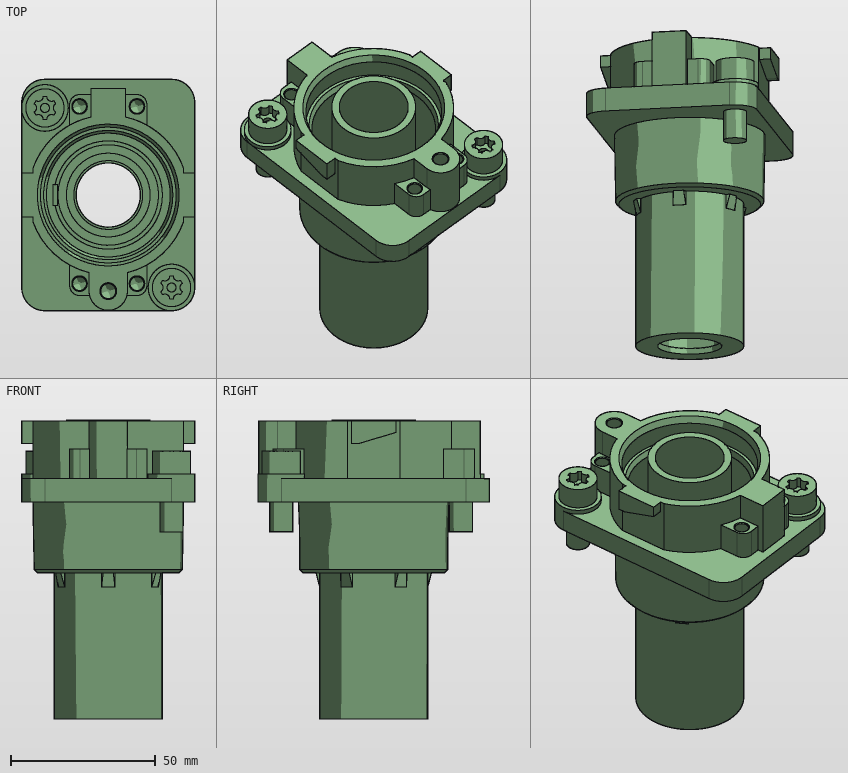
import cadquery as cq
import math

TUBE_TOP = 103.3
RING_TOP = 103.0
LUG_SHALLOW_BOTTOM = 99.0
LUG_DEEP_BOTTOM = 95.1
PILLAR_TOP = 93.3
SCREW_HEAD_TOP = 92.6
SCREW_SEAT_TOP = 84.7
FLANGE_TOP = 83.1
FLANGE_BOTTOM = 74.9
SCREW_TIP = 64.7
POCKET_FLOOR = 56.8
COLLAR_BOTTOM = 50.5
RIB_BOTTOM = 45.7

FLANGE_X = 59.8
FLANGE_Y = 80.0
CORNER_R = 8.1

COLLAR_TOP_R = 26.0
COLLAR_LOW_R = 25.6
COLLAR_BEVEL = 1.1

RING_R = 27.6
RING_FLAT_X = 26.0
LEAD_IN_R = 24.5
LEAD_IN_DEPTH = 2.4
UPPER_BORE_R = 23.5
LEDGE_DEPTH = 9.1
LEDGE_R = 22.3
LEDGE_CONE_DEPTH = 2.0
POCKET_R = 21.4

SIDE_LUG_HALF_Y = 7.6
SIDE_LUG_FLAT_Y = 2.5
BACK_LUG_HALF_X = 6.0
BACK_LUG_Y = 36.8
POST_R = 6.6
POST_Y = -33.2
POST_HOLE_R = 2.6
POST_HOLE_DEPTH = 12.4

PILLAR_HALF_X = 13.3
PILLAR_Y = 34.7
PILLAR_CORNER_R = 3.5
PILLAR_HOLE_X = 9.9
PILLAR_HOLE_Y = 30.6
PILLAR_HOLE_R = 2.4
PILLAR_HOLE_DEPTH = 8.3
HOLE_CHAMFER = 0.3
DRILL_HALF_ANGLE = 59.0

SCREW_X = FLANGE_X / 2 - CORNER_R
CORNER_SCREW_Y = CORNER_R - FLANGE_Y / 2
SCREW_PLACES = [(-SCREW_X, 30.1), (SCREW_X, CORNER_SCREW_Y)]
SCREW_HEAD_R = 6.6
SHANK_R = 4.0
SOCKET_TIP_R = 3.9
SOCKET_TIP_HALF_W = 0.6
SOCKET_VALLEY_R = 2.9
SOCKET_DEPTH = 3.7
SOCKET_LOBES = 6
SOCKET_PIT_R = 1.5
SOCKET_PIT_DEPTH = 1.5

TUBE_R = 18.7
NECK_R = 17.4
NECK_H = 1.0
SPIGOT_R = 14.5
BORE_R = 11.9
BORE_END_R = 11.1
BORE_END_H = 2.1
KEY_INNER_X = 17.5
KEY_OUTER_X = 19.0
KEY_HALF_Y = 3.6
KEY_H = 2.1
RIB_COUNT = 6
RIB_START_ANGLE = 30
RIB_TOP_R = 19.9
RIB_BASE_HALF_W = 2.3
RIB_CREST_HALF_W = 1.8
RIB_ROOT = 0.5


def cylinder(radius, bottom, top, x=0, y=0):
    return cq.Workplane("XY", origin=(x, y, bottom)).circle(radius).extrude(top - bottom)


def block(x0, x1, y0, y1, bottom, top):
    corner = (x0, y0, bottom)
    return cq.Workplane("XY", origin=corner).box(x1 - x0, y1 - y0, top - bottom, centered=False)


def revolved(profile):
    """Turn a list of (radius, z) points around the Z axis."""
    return cq.Workplane("XZ").polyline(profile).close().revolve(360, (0, 0, 0), (0, 1, 0))


def drilled_hole(x, y, top, radius, depth):
    """Blind hole with a chamfered mouth and a drill-point end."""
    mouth_r = radius + HOLE_CHAMFER
    point_h = radius / math.tan(math.radians(DRILL_HALF_ANGLE))
    profile = [
        (0, top),
        (mouth_r, top),
        (radius, top - HOLE_CHAMFER),
        (radius, top - depth),
        (0, top - depth - point_h),
    ]
    return revolved(profile).translate((x, y, 0))


def make_flange():
    """Rounded plate, with the +X -Y corner left open for the screw seat that rounds it off."""
    plate = cq.Workplane("XY", origin=(0, 0, FLANGE_BOTTOM)).rect(FLANGE_X, FLANGE_Y)
    plate = plate.extrude(FLANGE_TOP - FLANGE_BOTTOM).edges("|Z").fillet(CORNER_R)
    open_corner = block(
        SCREW_X, FLANGE_X / 2, -FLANGE_Y / 2, CORNER_SCREW_Y, FLANGE_BOTTOM, FLANGE_TOP
    )
    return plate.cut(open_corner)


def make_collar():
    return revolved([
        (0, COLLAR_BOTTOM),
        (COLLAR_LOW_R - COLLAR_BEVEL, COLLAR_BOTTOM),
        (COLLAR_LOW_R, COLLAR_BOTTOM + COLLAR_BEVEL),
        (COLLAR_TOP_R, FLANGE_BOTTOM),
        (0, FLANGE_BOTTOM),
    ])


def make_ring():
    flats = block(-RING_FLAT_X, RING_FLAT_X, -RING_R, RING_R, FLANGE_TOP, RING_TOP)
    return cylinder(RING_R, FLANGE_TOP, RING_TOP).intersect(flats)


def make_side_lug():
    """Lug on the -X side, its underside sloping down toward -Y."""
    outline = [
        (SIDE_LUG_HALF_Y, RING_TOP),
        (SIDE_LUG_HALF_Y, LUG_SHALLOW_BOTTOM),
        (SIDE_LUG_FLAT_Y - SIDE_LUG_HALF_Y, LUG_DEEP_BOTTOM),
        (-SIDE_LUG_HALF_Y, LUG_DEEP_BOTTOM),
        (-SIDE_LUG_HALF_Y, RING_TOP),
    ]
    lug = cq.Workplane("YZ", origin=(-FLANGE_X / 2, 0, 0)).polyline(outline).close()
    return lug.extrude(FLANGE_X / 2 - UPPER_BORE_R)


def make_pillars():
    """Bars on both sides of the ring whose rounded corners form the four pillars."""
    bar = cq.Workplane("XY", origin=(0, 0, FLANGE_TOP)).rect(2 * PILLAR_HALF_X, 2 * PILLAR_Y)
    return bar.extrude(PILLAR_TOP - FLANGE_TOP).edges("|Z").fillet(PILLAR_CORNER_R)


def make_socket():
    """Six-lobed star recess with a round pit at its centre, its floor at Z = 0."""
    step = 2 * math.pi / SOCKET_LOBES

    def tip_corner(angle, side):
        c = math.cos(angle)
        s = math.sin(angle)
        offset = side * SOCKET_TIP_HALF_W
        return (SOCKET_TIP_R * c - offset * s, SOCKET_TIP_R * s + offset * c)

    first = math.pi / 2
    star = cq.Workplane("XY").moveTo(*tip_corner(first, -1))
    for lobe in range(SOCKET_LOBES):
        angle = first + lobe * step
        middle = angle + step / 2
        valley = (SOCKET_VALLEY_R * math.cos(middle), SOCKET_VALLEY_R * math.sin(middle))
        star = star.lineTo(*tip_corner(angle, 1))
        star = star.threePointArc(valley, tip_corner(angle + step, -1))
    return star.close().extrude(SOCKET_DEPTH).union(cylinder(SOCKET_PIT_R, -SOCKET_PIT_DEPTH, 0))


def make_screw(x, y):
    seat = cylinder(CORNER_R, FLANGE_BOTTOM, SCREW_SEAT_TOP)
    head = cylinder(SCREW_HEAD_R, SCREW_SEAT_TOP, SCREW_HEAD_TOP)
    shank = cylinder(SHANK_R, SCREW_TIP, FLANGE_TOP)
    socket = make_socket().translate((0, 0, SCREW_HEAD_TOP - SOCKET_DEPTH))
    return seat.union(head).union(shank).cut(socket).translate((x, y, 0))


def make_cavity():
    """Stepped pocket from the top and the through bore that holds the tube."""
    ledge_z = RING_TOP - LEDGE_DEPTH
    pocket = revolved([
        (0, RING_TOP),
        (LEAD_IN_R, RING_TOP),
        (UPPER_BORE_R, RING_TOP - LEAD_IN_DEPTH),
        (UPPER_BORE_R, ledge_z),
        (LEDGE_R, ledge_z),
        (POCKET_R, ledge_z - LEDGE_CONE_DEPTH),
        (POCKET_R, POCKET_FLOOR),
        (0, POCKET_FLOOR),
    ])
    return pocket.union(cylinder(TUBE_R, COLLAR_BOTTOM, POCKET_FLOOR))


def make_housing():
    side_lug = make_side_lug()
    back_lug = block(-BACK_LUG_HALF_X, BACK_LUG_HALF_X, 0, BACK_LUG_Y, FLANGE_TOP, RING_TOP)
    post = cylinder(POST_R, FLANGE_TOP, RING_TOP, 0, POST_Y)
    post_web = block(-POST_R, POST_R, POST_Y, 0, FLANGE_TOP, RING_TOP)

    body = make_flange().union(make_collar()).union(make_ring()).union(make_pillars())
    for part in (side_lug, side_lug.mirror("YZ"), back_lug, post, post_web):
        body = body.union(part)
    for x, y in SCREW_PLACES:
        body = body.union(make_screw(x, y))

    body = body.cut(make_cavity())
    body = body.cut(drilled_hole(0, POST_Y, RING_TOP, POST_HOLE_R, POST_HOLE_DEPTH))
    for x in (-PILLAR_HOLE_X, PILLAR_HOLE_X):
        for y in (-PILLAR_HOLE_Y, PILLAR_HOLE_Y):
            body = body.cut(drilled_hole(x, y, PILLAR_TOP, PILLAR_HOLE_R, PILLAR_HOLE_DEPTH))
    return body


def make_rib():
    """Rib on the +X side of the tube, tapering down into the tube wall."""
    inner_r = TUBE_R - RIB_ROOT
    side_profile = [
        (inner_r, RIB_BOTTOM),
        (TUBE_R, RIB_BOTTOM),
        (RIB_TOP_R, COLLAR_BOTTOM),
        (inner_r, COLLAR_BOTTOM),
    ]
    wedge = cq.Workplane("XZ").polyline(side_profile).close().extrude(RIB_BASE_HALF_W, both=True)
    plan = [
        (inner_r, -RIB_BASE_HALF_W),
        (TUBE_R, -RIB_BASE_HALF_W),
        (RIB_TOP_R, -RIB_CREST_HALF_W),
        (RIB_TOP_R, RIB_CREST_HALF_W),
        (TUBE_R, RIB_BASE_HALF_W),
        (inner_r, RIB_BASE_HALF_W),
    ]
    return wedge.intersect(cq.Workplane("XY").polyline(plan).close().extrude(TUBE_TOP))


def make_tube():
    neck_top = POCKET_FLOOR + NECK_H
    body = revolved([
        (BORE_END_R, 0),
        (TUBE_R, 0),
        (TUBE_R, POCKET_FLOOR),
        (NECK_R, POCKET_FLOOR),
        (NECK_R, neck_top),
        (SPIGOT_R, neck_top),
        (SPIGOT_R, TUBE_TOP),
        (BORE_R, TUBE_TOP),
        (BORE_R, BORE_END_H),
        (BORE_END_R, BORE_END_H),
    ])
    key = block(
        -KEY_OUTER_X, -KEY_INNER_X, -KEY_HALF_Y, KEY_HALF_Y, POCKET_FLOOR, POCKET_FLOOR + KEY_H
    )
    body = body.union(key)
    rib = make_rib()
    for number in range(RIB_COUNT):
        angle = RIB_START_ANGLE + number * 360 / RIB_COUNT
        body = body.union(rib.rotate((0, 0, 0), (0, 0, 1), angle))
    return body


housing = make_housing()
tube = make_tube()

result = cq.Compound.makeCompound([housing.solids().val(), tube.solids().val()])